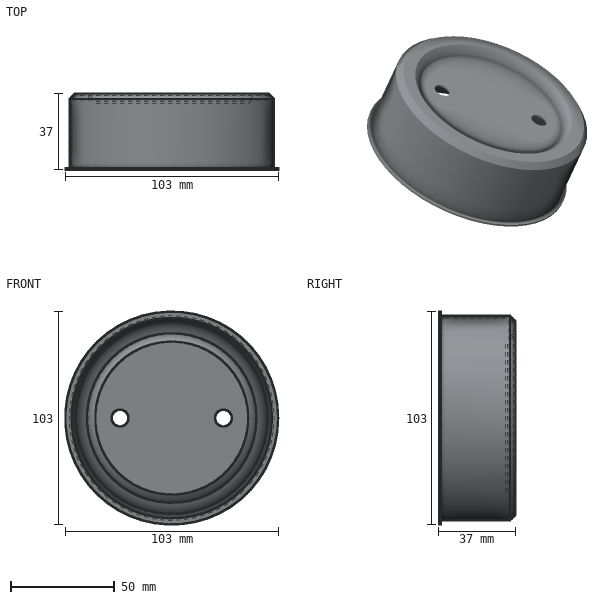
import cadquery as cq
import math

sheet = 1.0
flange_dia = 103.0
body_dia = 99.0
depth = 37.0
bevel = 2.8

plateau_base_dia = 82.0
plateau_top_dia = 74.0
plateau_height = 4.0

hole_dia = 8.0
hole_spacing = 50.0

front = -depth / 2
back = depth / 2
body_radius = body_dia / 2
inner_radius = body_radius - sheet
floor = back - sheet

bevel_slope = math.radians(45)
bevel_shift = sheet * math.tan(bevel_slope / 2)
plateau_slope = math.atan2(plateau_height, (plateau_base_dia - plateau_top_dia) / 2)
plateau_shift = sheet * math.tan(plateau_slope / 2)


def make_cup():
    """Revolve the sheet section (radius, y) about the Y axis."""
    profile = [
        (0, floor - plateau_height),
        (plateau_top_dia / 2, floor - plateau_height),
        (plateau_base_dia / 2, floor),
        (body_radius - bevel - bevel_shift, floor),
        (inner_radius, back - bevel - bevel_shift),
        (inner_radius, front),
        (flange_dia / 2, front),
        (flange_dia / 2, front + sheet),
        (body_radius, front + sheet),
        (body_radius, back - bevel),
        (body_radius - bevel, back),
        (plateau_base_dia / 2 - plateau_shift, back),
        (plateau_top_dia / 2 - plateau_shift, back - plateau_height),
        (0, back - plateau_height),
    ]
    return cq.Workplane("XY").polyline(profile).close().revolve(360, (0, 0, 0), (0, 1, 0))


def make_hole_cutters():
    """Two pins along Y, side by side on X, long enough to pass through the whole cup."""
    return (
        cq.Workplane("XZ")
        .pushPoints([(-hole_spacing / 2, 0), (hole_spacing / 2, 0)])
        .circle(hole_dia / 2)
        .extrude(depth, both=True)
    )


result = make_cup().cut(make_hole_cutters())